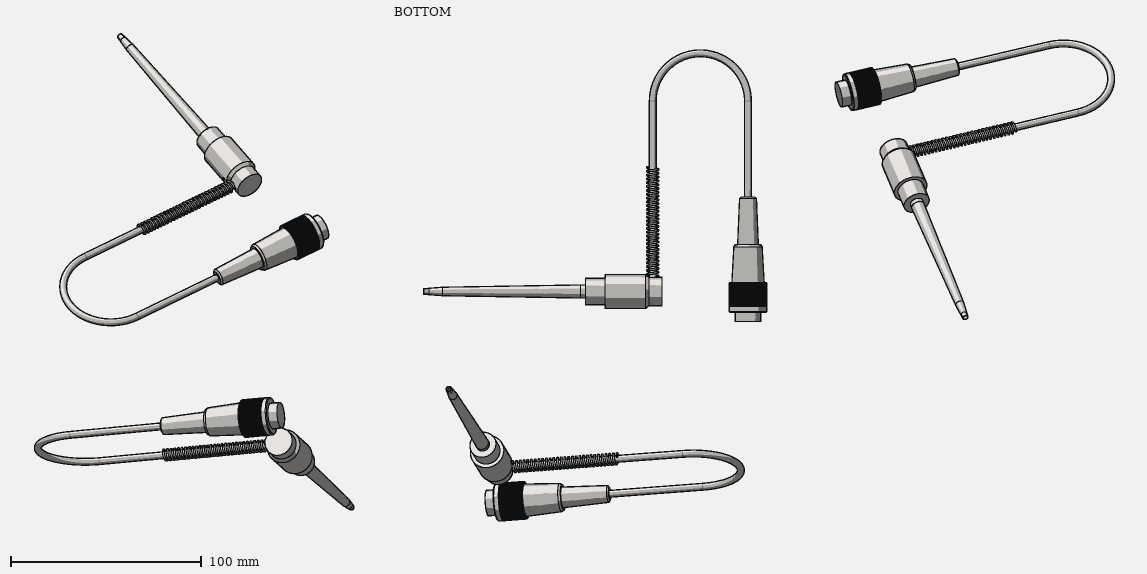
import cadquery as cq
import math


CABLE_DIA = 3.7
BEND_RADIUS = 25
BEND_Y = -100
CONNECTOR_X = 2 * BEND_RADIUS
CABLE_START_Y = -5
BOOT_SOCKET_DEPTH = 5

COLLAR_DIA = 7
NOSE_DIA = 14
BODY_DIA = 18
CAP_DIA = 15
COLLAR_X = -37.8
NOSE_X = -35.4
BODY_X = -25
TAPER_X = -3.8
CAP_X = -2
HOUSING_END_X = 4.9
PIN_HOLE_DIA = 1.5
PIN_HOLE_DEPTH = 2
PIN_HOLE_X = -6.3

TIP_X = -120.29
TIP_LENGTH = 10
TIP_END_DIA = 3
TIP_BASE_DIA = 4.6
ROD_BASE_DIA = 7
TIP_HOLE_DIA = 2.46
TIP_HOLE_DEPTH = 3

WIRE_DIA = 1
SPRING_DIA = 6.5
SPRING_PITCH = 2
SPRING_TURNS = 28.5
SPRING_START_Y = -8.05

PLUG_DIA = 13.6
PLUG_TOP_Y = 15.8
RING_DIA = 19.9
RING_TOP_Y = 10.9
RING_CHAMFER = 0.5
KNURL_TOP_Y = 8
RING_BOTTOM_Y = -4.8
KNURL_COUNT = 80
KNURL_DEPTH = 0.4
KNURL_GROOVE_SHARE = 0.8
KNURL_OVERCUT = 0.1
SLEEVE_TOP_DIA = 17.1
SLEEVE_BOTTOM_DIA = 15
SLEEVE_END_DIA = 13.6
SLEEVE_TAPER_Y = -23.4
SLEEVE_BOTTOM_Y = -24.6
BOOT_TOP_DIA = 11
BOOT_BOTTOM_DIA = 9
BOOT_END_DIA = 6.5
BOOT_TAPER_Y = -48.9
BOOT_BOTTOM_Y = -49.7


def turned_along_x(stations):
    """Solid of revolution about the X axis from (x, diameter) stations."""
    outline = [(x, diameter / 2) for x, diameter in stations]
    profile = cq.Workplane("XY").polyline(outline).close()
    return profile.revolve(360, (0, 0, 0), (1, 0, 0))


def turned_along_y(stations):
    """Solid of revolution about the connector axis from (y, diameter) stations."""
    outline = [(diameter / 2, y) for y, diameter in stations]
    profile = cq.Workplane("XY").polyline(outline).close()
    return profile.revolve(360, (0, 0, 0), (0, 1, 0)).translate((CONNECTOR_X, 0, 0))


def make_cable():
    """Cable swept along two straights joined by a half circle."""
    path = (
        cq.Workplane("XY")
        .moveTo(0, CABLE_START_Y)
        .lineTo(0, BEND_Y)
        .threePointArc((BEND_RADIUS, BEND_Y - BEND_RADIUS), (CONNECTOR_X, BEND_Y))
        .lineTo(CONNECTOR_X, BOOT_BOTTOM_Y + BOOT_SOCKET_DEPTH)
    )
    start = cq.Workplane("XZ", origin=(0, CABLE_START_Y, 0))
    return start.circle(CABLE_DIA / 2).sweep(path)


def make_housing(cable):
    """Stepped housing with a small side hole and a socket for the cable."""
    housing = turned_along_x(
        [
            (COLLAR_X, 0),
            (COLLAR_X, COLLAR_DIA),
            (NOSE_X, COLLAR_DIA),
            (NOSE_X, NOSE_DIA),
            (BODY_X, NOSE_DIA),
            (BODY_X, BODY_DIA),
            (TAPER_X, BODY_DIA),
            (CAP_X, CAP_DIA),
            (HOUSING_END_X, CAP_DIA),
            (HOUSING_END_X, 0),
        ]
    )
    hole_plane = cq.Workplane("XZ", origin=(PIN_HOLE_X, -BODY_DIA / 2, 0))
    pin_hole = hole_plane.circle(PIN_HOLE_DIA / 2).extrude(-PIN_HOLE_DEPTH)
    return housing.cut(pin_hole).cut(cable)


def make_rod():
    """Probe rod, widening from the tip to the housing collar."""
    rod_start_x = TIP_X + TIP_LENGTH
    return turned_along_x(
        [
            (rod_start_x, 0),
            (rod_start_x, TIP_BASE_DIA),
            (COLLAR_X, ROD_BASE_DIA),
            (COLLAR_X, 0),
        ]
    )


def make_tip():
    """Conical tip with a blind bore whose floor is a dome."""
    tip_base_x = TIP_X + TIP_LENGTH
    tip = turned_along_x([(TIP_X, 0), (TIP_X, TIP_END_DIA), (tip_base_x, TIP_BASE_DIA), (tip_base_x, 0)])
    hole_plane = cq.Workplane("YZ", origin=(TIP_X, 0, 0))
    hole = hole_plane.circle(TIP_HOLE_DIA / 2).extrude(TIP_HOLE_DEPTH)
    dome = cq.Workplane("XY").sphere(TIP_HOLE_DIA / 2).translate((TIP_X + TIP_HOLE_DEPTH, 0, 0))
    return tip.cut(hole.cut(dome))


def make_spring():
    """Round wire coiled loosely round the cable, running from the housing toward -Y."""
    coil_radius = (SPRING_DIA - WIRE_DIA) / 2
    helix = cq.Wire.makeHelix(SPRING_PITCH, SPRING_PITCH * SPRING_TURNS, coil_radius)
    section = cq.Workplane("XZ", origin=(coil_radius, 0, 0)).circle(WIRE_DIA / 2)
    spring = section.sweep(cq.Workplane(helix), isFrenet=True)
    return spring.rotate((0, 0, 0), (1, 0, 0), 90).translate((0, SPRING_START_Y, 0))


def cut_knurl(connector):
    """Cut straight V-grooves all round the grip ring."""
    radius = RING_DIA / 2
    outer = radius + KNURL_OVERCUT
    half_width = math.pi * radius / KNURL_COUNT * KNURL_GROOVE_SHARE
    groove = (
        cq.Workplane("XZ", origin=(0, KNURL_TOP_Y, 0))
        .polyline([(radius - KNURL_DEPTH, 0), (outer, half_width), (outer, -half_width)])
        .close()
        .extrude(KNURL_TOP_Y - RING_BOTTOM_Y)
    )
    grooves = []
    for index in range(KNURL_COUNT):
        turned = groove.rotate((0, 0, 0), (0, 1, 0), 360 * index / KNURL_COUNT)
        grooves.append(turned.translate((CONNECTOR_X, 0, 0)).val())
    return cq.Workplane(connector.val().cut(*grooves))


def make_connector(cable):
    """Plug, knurled grip ring, tapered sleeve and tapered boot, with a socket for the cable."""
    connector = turned_along_y(
        [
            (PLUG_TOP_Y, 0),
            (PLUG_TOP_Y, PLUG_DIA),
            (RING_TOP_Y, PLUG_DIA),
            (RING_TOP_Y, RING_DIA - 2 * RING_CHAMFER),
            (RING_TOP_Y - RING_CHAMFER, RING_DIA),
            (RING_BOTTOM_Y + RING_CHAMFER, RING_DIA),
            (RING_BOTTOM_Y, RING_DIA - 2 * RING_CHAMFER),
            (RING_BOTTOM_Y, SLEEVE_TOP_DIA),
            (SLEEVE_TAPER_Y, SLEEVE_BOTTOM_DIA),
            (SLEEVE_BOTTOM_Y, SLEEVE_END_DIA),
            (SLEEVE_BOTTOM_Y, BOOT_TOP_DIA),
            (BOOT_TAPER_Y, BOOT_BOTTOM_DIA),
            (BOOT_BOTTOM_Y, BOOT_END_DIA),
            (BOOT_BOTTOM_Y, 0),
        ]
    )
    return cut_knurl(connector).cut(cable)


cable = make_cable()
housing = make_housing(cable)
rod = make_rod()
tip = make_tip()
spring = make_spring()
connector = make_connector(cable)

result = cq.Compound.makeCompound(
    [tip.val(), rod.val(), housing.val(), spring.val(), cable.val(), connector.val()]
)